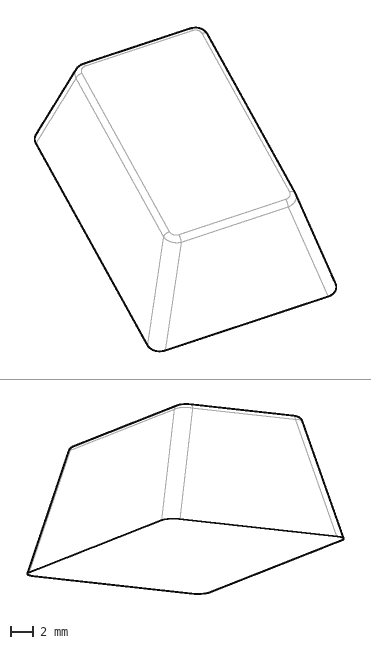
import cadquery as cq

length = 27.82
width = 18.3
height = 11.4
draft_angle = 14.0
corner_radius = 1.25
top_edge_radius = 0.58


def tapered_block():
    """Rectangular block standing on Z = 0 whose sides lean inward."""
    return cq.Workplane("XY").rect(length, width).extrude(height, taper=draft_angle)


def round_corners(block):
    """Round the sloping edges that join neighbouring side faces."""
    return block.edges("not(#Z)").fillet(corner_radius)


def round_top(block):
    """Round the whole rim of the top face."""
    return block.faces(">Z").edges().fillet(top_edge_radius)


result = round_top(round_corners(tapered_block()))